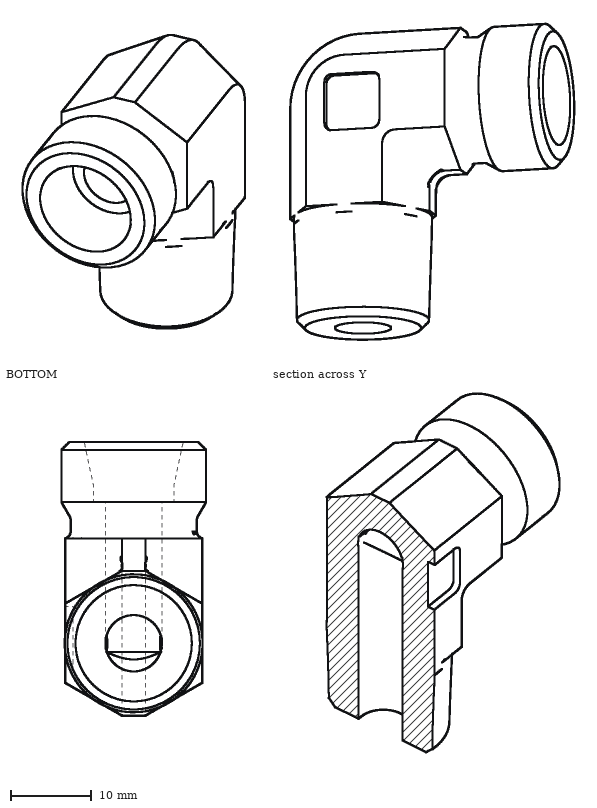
import cadquery as cq
import math


body_width = 17.02
body_height = 18.0
hex_slope = math.radians(30)
horizontal_body_end = 13.0
vertical_body_end = 14.0
inner_corner_radius = 2.0
tolerance = 0.005

horizontal_length = 24.98
thread_radius = 18.0 / 2
thread_chamfer = 1.0
thread_start = 17.5
neck_radius = 15.7 / 2
neck_fillet = 0.9
neck_slope = math.radians(30)
socket_mouth_radius = 6.15
socket_radius = 10.0 / 2
socket_half_angle = math.radians(12)
socket_depth = 7.5

vertical_length = 28.0
collar_radius = 17.13 / 2
collar_height = 2.0
collar_flat_height = 1.0
taper_end_radius = 8.2
taper_chamfer = 1.0

bore_radius = 7.0 / 2
bore_overrun = 1.1
drill_tip_angle = math.radians(118)

recess_size = 7.1
recess_center = -1.0
recess_corner = 1.0
recess_depth = 1.0

half_width = body_width / 2
half_height = body_height / 2
top_flat_half = (half_width - half_height * math.cos(hex_slope)) / math.sin(hex_slope)
side_half = half_height - (half_width - top_flat_half) * math.tan(hex_slope)

half_section = [
    (0, 0),
    (half_width, 0),
    (half_width, side_half),
    (top_flat_half, half_height),
    (-top_flat_half, half_height),
    (-half_width, side_half),
    (-half_width, 0),
]


def section_bar(plane, length):
    """Bar of the full body section, extruded along the plane normal."""
    upper_points = half_section[2:6]
    lower_points = [(x, -height) for x, height in reversed(upper_points)]
    points = upper_points + lower_points
    return cq.Workplane(plane).polyline(points).close().extrude(length)


def horizontal_bar(length):
    return section_bar("XZ", length)


def vertical_bar(length):
    return section_bar("XY", -length)


def revolve_about_y(profile):
    """Turn a closed (radius, distance) sketch about Y, distance running to -Y."""
    solid = profile.close().revolve(360, (0, 0, 0), (0, 1, 0))
    return solid.mirror("XZ")


def is_inner_corner(edge):
    """True for the edges where the two legs meet on the inside of the elbow."""
    center = edge.Center()
    ends_on_miter = all(abs(end.Y - end.Z) < tolerance for end in edge.Vertices())
    return ends_on_miter and center.y < -side_half


def make_body():
    body = horizontal_bar(horizontal_body_end).union(vertical_bar(vertical_body_end))
    miter_edges = [edge for edge in body.edges().vals() if is_inner_corner(edge)]
    body = body.newObject(miter_edges).fillet(inner_corner_radius)
    bend = cq.Workplane("XZ").polyline(half_section).close().revolve(90, (0, 0, 0), (-1, 0, 0))
    return body.union(bend)


def make_horizontal_leg():
    root_end = horizontal_body_end + neck_fillet
    blend_radius = neck_radius + neck_fillet * (1 - math.cos(neck_slope))
    blend_end = thread_start - (thread_radius - blend_radius) / math.tan(neck_slope)
    blend_start = blend_end - neck_fillet * math.sin(neck_slope)
    blend_mid = (
        neck_radius + neck_fillet * (1 - math.cos(neck_slope / 2)),
        blend_start + neck_fillet * math.sin(neck_slope / 2),
    )
    root_mid_offset = neck_fillet * (1 - math.sqrt(0.5))
    profile = (
        cq.Workplane("XY")
        .lineTo(neck_radius + neck_fillet, 0)
        .lineTo(neck_radius + neck_fillet, horizontal_body_end)
        .threePointArc(
            (neck_radius + root_mid_offset, horizontal_body_end + root_mid_offset),
            (neck_radius, root_end),
        )
        .lineTo(neck_radius, blend_start)
        .threePointArc(blend_mid, (blend_radius, blend_end))
        .lineTo(thread_radius, thread_start)
        .lineTo(thread_radius, horizontal_length - thread_chamfer)
        .lineTo(thread_radius - thread_chamfer, horizontal_length)
        .lineTo(0, horizontal_length)
    )
    leg = revolve_about_y(profile)
    root_envelope = horizontal_bar(root_end)
    thread_envelope = (
        cq.Workplane("XZ", origin=(0, -root_end, 0))
        .circle(thread_radius)
        .extrude(horizontal_length - root_end)
    )
    return leg.intersect(root_envelope).union(leg.intersect(thread_envelope))


def make_vertical_leg():
    collar_end = vertical_body_end + collar_height
    flat_end = vertical_body_end + collar_flat_height
    flats = vertical_bar(flat_end).intersect(
        cq.Workplane("XY").circle(collar_radius).extrude(-flat_end)
    )
    thread = (
        cq.Workplane("XZ")
        .moveTo(0, -flat_end)
        .lineTo(collar_radius, -flat_end)
        .lineTo(collar_radius, -collar_end)
        .lineTo(taper_end_radius, -vertical_length + taper_chamfer)
        .lineTo(taper_end_radius - taper_chamfer, -vertical_length)
        .lineTo(0, -vertical_length)
        .close()
        .revolve(360, (0, 0, 0), (0, 1, 0))
    )
    return flats.union(thread)


def make_bore(plane, length):
    """Drilled hole with a conical tip, entering from the negative end of the axis."""
    tip_length = bore_radius / math.tan(drill_tip_angle / 2)
    return (
        cq.Workplane(plane)
        .moveTo(0, -length)
        .lineTo(bore_radius, -length)
        .lineTo(bore_radius, bore_overrun)
        .lineTo(0, bore_overrun + tip_length)
        .close()
        .revolve(360, (0, 0, 0), (0, 1, 0))
    )


def make_socket():
    cone_depth = (socket_mouth_radius - socket_radius) / math.tan(socket_half_angle)
    profile = (
        cq.Workplane("XY")
        .moveTo(0, horizontal_length)
        .lineTo(socket_mouth_radius, horizontal_length)
        .lineTo(socket_radius, horizontal_length - cone_depth)
        .lineTo(socket_radius, horizontal_length - socket_depth)
        .lineTo(0, horizontal_length - socket_depth)
    )
    return revolve_about_y(profile)


def make_recess():
    return (
        cq.Workplane("XY")
        .box(recess_depth, recess_size, recess_size, centered=(False, True, True))
        .edges("|X")
        .fillet(recess_corner)
        .translate((-half_width, recess_center, recess_center))
    )


result = (
    make_body()
    .union(make_horizontal_leg())
    .union(make_vertical_leg())
    .cut(make_bore("XY", horizontal_length))
    .cut(make_bore("XZ", vertical_length))
    .cut(make_socket())
    .cut(make_recess())
)